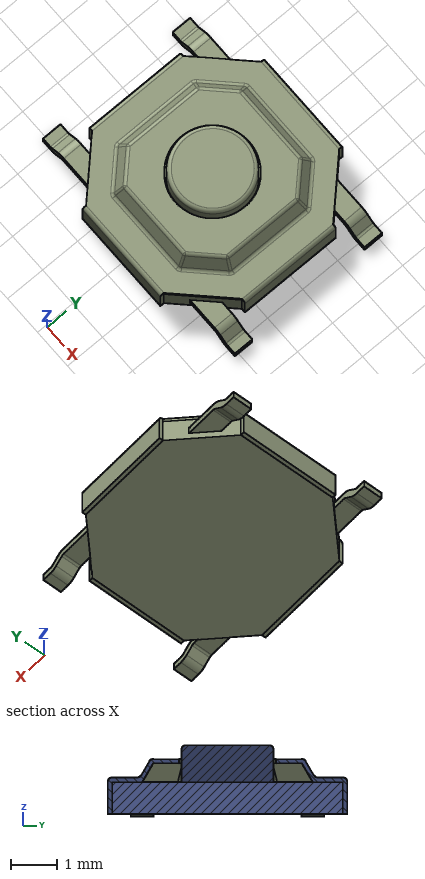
import cadquery as cq
import math


base_size = 5.0
base_corner = 1.2
base_height = 0.7

sheet = 0.1
cover_size = base_size + 2 * sheet
flap_width = base_size - 2 * base_corner
plate_top = base_height + sheet
fold_radius = sheet
dome_size = 3.8
dome_corner = 0.8
dome_height = 0.4
dome_slope = 30.0
dome_fillet = 0.1

button_radius = 1.0
button_gap = 0.05
button_top = 1.5
button_fillet = 0.1

lead_span = 6.4
lead_width = 0.5
lead_thickness = 0.2
lead_pitch = 3.7
lead_shoulder_z = 0.3
lead_foot_z = 0.05
lead_foot_length = 0.24
lead_bend_radius = 0.2
lead_bend_angle = math.radians(40)


def octagon(size, corner, z):
    """Square outline with 45 degree cut corners, at height z."""
    far = size / 2
    near = far - corner
    points = [
        (far, -near), (far, near), (near, far), (-near, far),
        (-far, near), (-far, -near), (-near, -far), (near, -far),
    ]
    return cq.Workplane("XY").workplane(offset=z).polyline(points).close()


def make_base():
    return octagon(base_size, base_corner, 0).extrude(base_height)


def make_folded_sheet():
    """Flat octagonal plate with a flap folded down over each straight side of the base."""
    plate = octagon(base_size, base_corner, base_height).extrude(sheet)
    along_x = (
        cq.Workplane("XY")
        .box(cover_size, flap_width, plate_top, centered=(True, True, False))
        .faces(">Z").edges("|Y").fillet(fold_radius)
    )
    along_y = along_x.rotate((0, 0, 0), (0, 0, 1), 90)
    return plate.union(along_x).union(along_y).cut(make_base())


def add_dome(cover):
    """Raise the dome, round its outer edges and hollow it to the sheet thickness."""
    dome_top = plate_top + dome_height
    dome = octagon(dome_size, dome_corner, plate_top).extrude(dome_height, taper=dome_slope)
    dome = dome.edges("not #Z").fillet(dome_fillet)
    dome = dome.faces(">Z").edges().fillet(dome_fillet)

    inset = sheet * math.tan(math.radians(dome_slope))
    hollow = (
        octagon(dome_size, dome_corner, base_height)
        .offset2D(-inset, "intersection")
        .extrude(dome_height, taper=dome_slope)
    )
    cover = cover.union(dome)
    flange = cover.faces(cq.NearestToPointSelector((0, 0, plate_top)))
    foot_edges = flange.val().innerWires()[0].Edges()
    cover = cover.newObject(foot_edges).fillet(dome_fillet).cut(hollow)

    button_hole = (
        cq.Workplane("XY").workplane(offset=base_height)
        .circle(button_radius + button_gap)
        .extrude(dome_top - base_height)
    )
    return cover.cut(button_hole)


def make_cover():
    return add_dome(make_folded_sheet())


def make_button():
    """Round button standing on the base and rising through the hole in the dome."""
    return (
        cq.Workplane("XY").workplane(offset=base_height)
        .circle(button_radius)
        .extrude(button_top - base_height)
        .faces(">Z").edges().fillet(button_fillet)
    )


def make_lead(side_x, side_y):
    """Gull-wing lead that ends flush against a chamfered corner of the base."""
    sine = math.sin(lead_bend_angle)
    cosine = math.cos(lead_bend_angle)
    bend_drop = lead_bend_radius * (1 - cosine)
    bend_run = lead_bend_radius * sine
    slope_drop = lead_shoulder_z - lead_foot_z - 2 * bend_drop
    slope_run = slope_drop * cosine / sine

    tip_x = lead_span / 2
    foot_x = tip_x - lead_foot_length
    shoulder_x = foot_x - slope_run - 2 * bend_run
    root_x = base_size - base_corner - lead_pitch / 2 - lead_width
    upper_bend_end = (shoulder_x + bend_run, lead_shoulder_z - bend_drop)
    lower_bend_start = (foot_x - bend_run, lead_foot_z + bend_drop)

    path = (
        cq.Workplane("XZ", origin=(0, lead_pitch / 2, 0))
        .moveTo(root_x, lead_shoulder_z)
        .lineTo(shoulder_x, lead_shoulder_z)
        .tangentArcPoint(upper_bend_end, relative=False)
        .lineTo(*lower_bend_start)
        .tangentArcPoint((foot_x, lead_foot_z), relative=False)
        .lineTo(tip_x, lead_foot_z)
    )
    lead = (
        cq.Workplane("YZ", origin=(root_x, lead_pitch / 2, lead_shoulder_z))
        .rect(lead_width, lead_thickness)
        .sweep(path)
        .cut(make_base())
    )
    if side_x < 0:
        lead = lead.mirror("YZ")
    if side_y < 0:
        lead = lead.mirror("XZ")
    return lead


base = make_base()
cover = make_cover()
button = make_button()
leads = [make_lead(side_x, side_y) for side_x in (-1, 1) for side_y in (-1, 1)]

bodies = [base, cover, button, *leads]

result = cq.Compound.makeCompound([body.solids().val() for body in bodies])